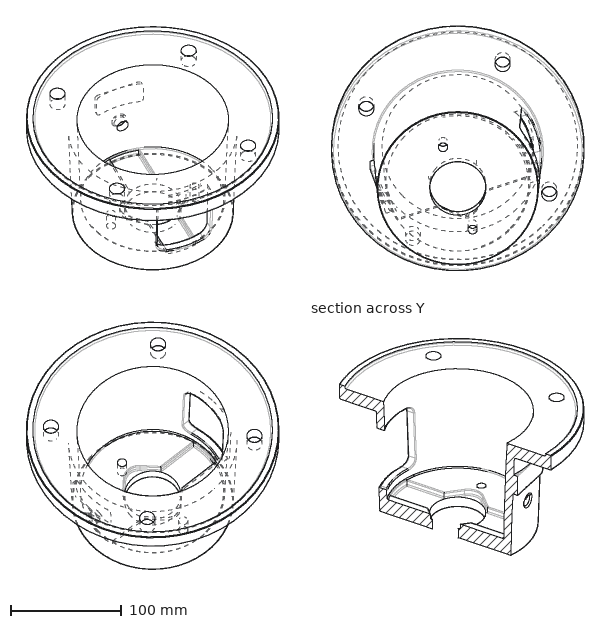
import cadquery as cq
import math

flange_radius = 114.3
total_height = 124.0
flange_underside = 107.5
outer_edge_round = 1.8
top_edge_chamfer = 0.7
bottom_edge_chamfer = 0.7
root_fillet = 1.1

recess_radius = 108.4
recess_depth = 2.7
recess_fillet = 1.5
recess_floor = total_height - recess_depth

draft_slope = 0.032
barrel_bottom_radius = 73.0
bore_top_radius = 68.5
floor_height = 16.0
floor_fillet = 1.1

shaft_hole_radius = 25.4
stud_hole_diameter = 8.2
stud_hole_offset = 41.4
channel_width = 28.5
channel_depth = 5.7
channel_fillet = 1.1
channel_mouth_round = 1.0
diamond_side = 52.5
diamond_corner_radius = 13.3

bolt_hole_diameter = 13.7
bolt_spacing = 130.3

window_width = 52.5
window_bottom = 25.5
window_top = 90.0
window_corner_radius = 8.0
window_edge_round = 1.1

port_height = 49.4
port_radius = 5.5
port_mouth_radius = 7.3

pad_width = 46.6
pad_bottom = 67.2
pad_top = 89.5
pad_face_x = -76.4
pad_corner_radius = 4.0
pad_edge_fillet = 1.0

tolerance = 0.02


def barrel_radius(z):
    return barrel_bottom_radius + draft_slope * z


def bore_radius(z):
    return bore_top_radius - draft_slope * (recess_floor - z)


def revolve_about_z(profile):
    return profile.close().revolve(360, (0, 0, 0), (0, 1, 0))


def body():
    """Solid flange and barrel, revolved about Z."""
    profile = (
        cq.Workplane("XZ")
        .moveTo(0, 0)
        .lineTo(barrel_radius(0) - bottom_edge_chamfer, 0)
        .lineTo(barrel_radius(bottom_edge_chamfer), bottom_edge_chamfer)
        .lineTo(barrel_radius(flange_underside - root_fillet), flange_underside - root_fillet)
        .radiusArc((barrel_radius(flange_underside) + root_fillet, flange_underside), root_fillet)
        .lineTo(flange_radius - outer_edge_round, flange_underside)
        .radiusArc((flange_radius, flange_underside + outer_edge_round), -outer_edge_round)
        .lineTo(flange_radius, total_height - top_edge_chamfer)
        .lineTo(flange_radius - top_edge_chamfer, total_height)
        .lineTo(0, total_height)
    )
    return revolve_about_z(profile)


def cavity():
    """Pilot recess and tapered blind bore."""
    profile = (
        cq.Workplane("XZ")
        .moveTo(0, floor_height)
        .lineTo(bore_radius(floor_height) - floor_fillet, floor_height)
        .radiusArc((bore_radius(floor_height + floor_fillet), floor_height + floor_fillet), -floor_fillet)
        .lineTo(bore_top_radius, recess_floor)
        .lineTo(recess_radius - recess_fillet, recess_floor)
        .radiusArc((recess_radius, recess_floor + recess_fillet), -recess_fillet)
        .lineTo(recess_radius, total_height)
        .lineTo(0, total_height)
    )
    return revolve_about_z(profile)


def floor_channel():
    """Cross channel and rounded diamond sunk into the floor, ending at the foot of the bore."""
    floor_plane = cq.Workplane("XY", origin=(0, 0, floor_height))
    channel = floor_plane.rect(2 * flange_radius, channel_width).extrude(-channel_depth)
    diamond = (
        floor_plane.rect(diamond_side, diamond_side)
        .extrude(-channel_depth)
        .edges("|Z")
        .fillet(diamond_corner_radius)
        .rotate((0, 0, 0), (0, 0, 1), 45)
    )
    limit = floor_plane.circle(bore_radius(floor_height) - floor_fillet).extrude(-channel_depth)
    return channel.union(diamond).intersect(limit).faces("<Z").edges().fillet(channel_fillet)


def window():
    return (
        cq.Workplane("YZ")
        .center(0, (window_bottom + window_top) / 2)
        .rect(window_width, window_top - window_bottom)
        .extrude(flange_radius)
        .edges("|X")
        .fillet(window_corner_radius)
    )


def port():
    """Radial hole through the -X wall with a conical mouth."""
    mouth_depth = port_mouth_radius - port_radius
    hole = cq.Workplane("YZ").center(0, port_height).circle(port_radius).extrude(-flange_radius)
    mouth_plane = cq.Plane(
        origin=(-barrel_radius(port_height), 0, port_height), xDir=(0, 1, 0), normal=(1, 0, 0)
    )
    mouth = (
        cq.Workplane(mouth_plane)
        .circle(port_mouth_radius)
        .workplane(offset=mouth_depth)
        .circle(port_radius)
        .loft()
    )
    return hole.union(mouth)


def name_plate_pad():
    depth = -pad_face_x - bore_radius(pad_top)
    return (
        cq.Workplane("YZ", origin=(pad_face_x, 0, (pad_bottom + pad_top) / 2))
        .rect(pad_width, pad_top - pad_bottom)
        .extrude(depth)
        .edges("|X")
        .fillet(pad_corner_radius)
        .faces("<X")
        .edges()
        .fillet(pad_edge_fillet)
    )


def box_selector(x_range, y_range, z_range):
    """Selector for edges whose centre lies inside the given box."""
    low, high = zip(x_range, y_range, z_range)
    return cq.selectors.BoxSelector(low, high)


def channel_mouth_edges():
    """Straight and diamond-tip edges where the channel meets the floor."""
    reach_x = bore_radius(floor_height)
    reach_y = diamond_side / math.sqrt(2)
    return box_selector(
        (-reach_x, reach_x),
        (-reach_y, reach_y),
        (floor_height - tolerance, floor_height + tolerance),
    )


def window_rim_edges():
    """Curved edges of the window on both faces of the wall, without its straight jamb lines."""
    reach_y = window_width / 2 + tolerance
    around_window = box_selector(
        (shaft_hole_radius, flange_radius),
        (-reach_y, reach_y),
        (window_bottom - tolerance, window_top + tolerance),
    )
    return around_window - cq.selectors.TypeSelector("LINE")


def shaft_hole():
    return cq.Workplane("XY").circle(shaft_hole_radius).extrude(floor_height)


def stud_holes():
    return (
        cq.Workplane("XY")
        .pushPoints([(0, -stud_hole_offset), (0, stud_hole_offset)])
        .circle(stud_hole_diameter / 2)
        .extrude(floor_height)
    )


def bolt_holes():
    return (
        cq.Workplane("XY", origin=(0, 0, flange_underside))
        .rect(bolt_spacing, bolt_spacing, forConstruction=True)
        .vertices()
        .circle(bolt_hole_diameter / 2)
        .extrude(total_height - flange_underside)
    )


housing = body().union(name_plate_pad()).cut(cavity())
housing = housing.cut(floor_channel()).edges(channel_mouth_edges()).fillet(channel_mouth_round)
housing = housing.cut(window()).edges(window_rim_edges()).fillet(window_edge_round)
result = housing.cut(port()).cut(shaft_hole()).cut(stud_holes()).cut(bolt_holes())